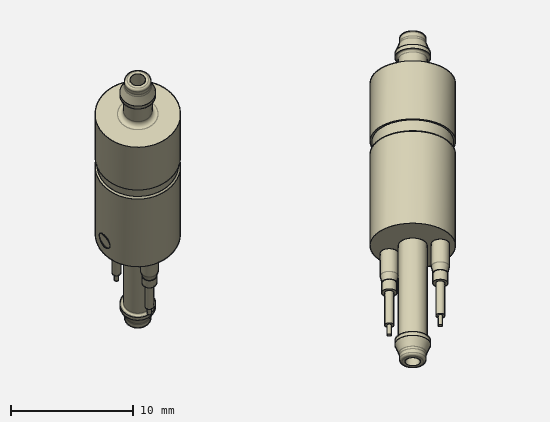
import cadquery as cq
import math

total_length = 31.2
housing_bottom = 11.15
housing_top = 26.73

housing_radius = 3.5
groove_radius = 3.35
groove_bottom = 19.95
groove_top = 21.15
groove_chamfer = housing_radius - groove_radius

shank_radius = 1.2
shank_root_fillet = 0.47
barb_radius = 1.47
tip_radius = 1.1
tip_corner = 0.7
cone_end = 1.62
barb_end = 2.0
end_fillet = 0.22
cone_foot_fillet = 0.55
barb_back_fillet = 0.2

bore_radius = 0.62
bore_floor_radius = 0.15
bore_wall_depth = 2.5
bore_cone_depth = 0.28
bore_depth = bore_wall_depth + bore_cone_depth

recess_radius = 0.72
recess_depth = 0.1
recess_height = 12.8

pin_offset_x = 2.2
pin_y = -0.5
sleeve_radius = 0.75
collar_radius = 0.62
taper_end_radius = 0.6
insulation_radius = 0.37
wire_radius = 0.2
sleeve_bottom = 8.95
taper_bottom = 8.3
collar_bottom = 7.35
insulation_bottom = 4.25
wire_bottom = 3.3


def revolve_about_z(profile):
    """Turn a closed XZ profile around the Z axis."""
    return profile.close().revolve(360, (0, 0, 0), (0, 1, 0))


def make_barrel():
    """Grooved cylinder with a chamfer on the lower lip of the groove."""
    return revolve_about_z(
        cq.Workplane("XZ")
        .moveTo(0, housing_bottom)
        .lineTo(housing_radius, housing_bottom)
        .lineTo(housing_radius, groove_bottom)
        .lineTo(groove_radius, groove_bottom + groove_chamfer)
        .lineTo(groove_radius, groove_top)
        .lineTo(housing_radius, groove_top)
        .lineTo(housing_radius, housing_top)
        .lineTo(0, housing_top)
    )


def make_nozzle(length, root_fillet):
    """Barbed nozzle standing on Z = 0, with its bore; a zero root fillet leaves a plain foot."""
    cone_angle = math.atan2(barb_radius - tip_radius, cone_end - tip_corner)
    tangent = cone_foot_fillet * math.tan(cone_angle / 2)
    fillet_start = (
        tip_radius + tangent * math.sin(cone_angle),
        length - tip_corner - tangent * math.cos(cone_angle),
    )
    barb_back = length - barb_end

    profile = cq.Workplane("XZ").moveTo(0, 0)
    if root_fillet > 0:
        profile = (
            profile.lineTo(shank_radius + root_fillet, 0)
            .radiusArc((shank_radius, root_fillet), root_fillet)
        )
    else:
        profile = profile.lineTo(shank_radius, 0)
    profile = (
        profile.lineTo(shank_radius, barb_back - barb_back_fillet)
        .radiusArc((shank_radius + barb_back_fillet, barb_back), barb_back_fillet)
        .lineTo(barb_radius, barb_back)
        .lineTo(barb_radius, length - cone_end)
        .lineTo(*fillet_start)
        .tangentArcPoint((tip_radius, length - tip_corner + tangent), relative=False)
        .lineTo(tip_radius, length - end_fillet)
        .radiusArc((tip_radius - end_fillet, length), -end_fillet)
        .lineTo(0, length)
    )
    bore = revolve_about_z(
        cq.Workplane("XZ")
        .moveTo(0, length)
        .lineTo(bore_radius, length)
        .lineTo(bore_radius, length - bore_wall_depth)
        .lineTo(bore_floor_radius, length - bore_depth)
        .lineTo(0, length - bore_depth)
    )
    return revolve_about_z(profile).cut(bore)


def make_recess_cutter():
    """Round cutter entering the barrel from the -Y side."""
    return (
        cq.Workplane("XZ", origin=(0, -housing_radius + recess_depth, 0))
        .center(0, recess_height)
        .circle(recess_radius)
        .extrude(housing_radius)
    )


def make_housing():
    """Barrel with both nozzles and the side recess."""
    upper_nozzle = make_nozzle(total_length - housing_top, shank_root_fillet)
    upper_nozzle = upper_nozzle.translate((0, 0, housing_top))
    lower_nozzle = make_nozzle(housing_bottom, 0)
    lower_nozzle = lower_nozzle.rotate((0, 0, 0), (1, 0, 0), 180).translate((0, 0, housing_bottom))
    return make_barrel().cut(make_recess_cutter()).union(upper_nozzle).union(lower_nozzle)


def make_pin(x):
    """Stepped pin hanging from the housing underside: sleeve, taper, collar, insulation, wire."""
    pin = revolve_about_z(
        cq.Workplane("XZ")
        .moveTo(0, housing_bottom)
        .lineTo(sleeve_radius, housing_bottom)
        .lineTo(sleeve_radius, sleeve_bottom)
        .lineTo(taper_end_radius, taper_bottom)
        .lineTo(collar_radius, taper_bottom)
        .lineTo(collar_radius, collar_bottom)
        .lineTo(insulation_radius, collar_bottom)
        .lineTo(insulation_radius, insulation_bottom)
        .lineTo(wire_radius, insulation_bottom)
        .lineTo(wire_radius, wire_bottom)
        .lineTo(0, wire_bottom)
    )
    return pin.translate((x, pin_y, 0))


housing = make_housing()
pins = [make_pin(x) for x in (-pin_offset_x, pin_offset_x)]

result = cq.Compound.makeCompound([housing.val(), *[pin.val() for pin in pins]])